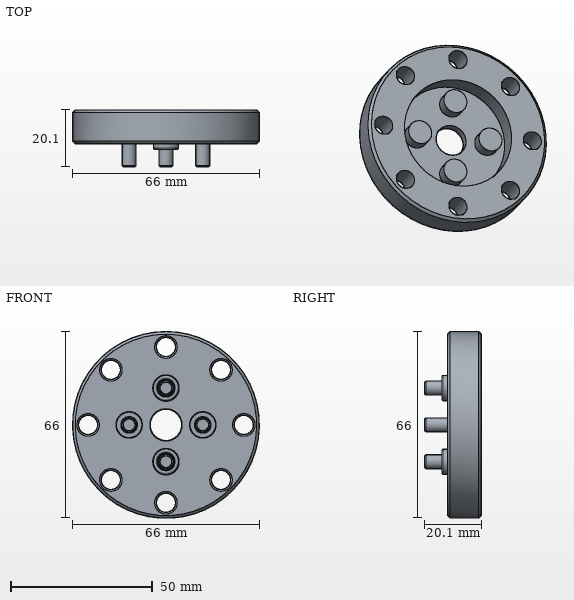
import cadquery as cq
import math


plate_diameter = 66
plate_thickness = 12.0
plate_chamfer = 1.0

pocket_diameter = 39.6
floor_thickness = 3.8

center_bore_diameter = 11.0
fine_chamfer = 0.2

mount_hole_count = 8
mount_circle_diameter = 55.0
mount_hole_diameter = 6.65
mount_hole_chamfer = 0.65

pin_count = 4
pin_circle_diameter = 26.0
pin_diameter = 5.0
pin_projection = 8.1
pin_tip_chamfer = 0.45
pin_head_diameter = 8.5
pin_head_height = pin_diameter
recess_diameter = 9.0
recess_depth = 2
clearance_diameter = 5.5

bushing_bore_diameter = 6.4
bushing_projection = 2
bushing_wall = (recess_diameter - bushing_bore_diameter) / 2
bushing_rim_radius = bushing_wall / 2


def circle_positions(circle_diameter, count):
    """Return evenly spaced (x, z) points on a circle, starting on +X."""
    radius = circle_diameter / 2
    angles = [2 * math.pi * i / count for i in range(count)]
    return [(radius * math.cos(a), radius * math.sin(a)) for a in angles]


def cylinder(position, diameter, y_start, y_end):
    """Return a cylinder along Y at an (x, z) position."""
    x, z = position
    return cq.Workplane(
        cq.Solid.makeCylinder(
            diameter / 2, y_end - y_start, cq.Vector(x, y_start, z), cq.Vector(0, 1, 0)
        )
    )


def chamfered_hole(position, diameter, y_start, y_end, chamfer):
    """Return the cutter for a hole along Y with a 45 degree chamfer at its front mouth."""
    x, z = position
    radius = diameter / 2
    cone = cq.Solid.makeCone(
        radius + chamfer, radius, chamfer, cq.Vector(x, y_start, z), cq.Vector(0, 1, 0)
    )
    return cylinder(position, diameter, y_start, y_end).union(cq.Workplane(cone))


def pin_hole(position):
    """Return the cutter for a recess and the clearance hole that runs on through the floor."""
    recess = chamfered_hole(position, recess_diameter, 0, recess_depth, fine_chamfer)
    clearance = chamfered_hole(
        position, clearance_diameter, recess_depth, floor_thickness, fine_chamfer
    )
    return recess.union(clearance)


def make_plate():
    """Return the round plate with its pocket and all of its holes."""
    center = (0, 0)
    body = cylinder(center, plate_diameter, 0, plate_thickness).edges().chamfer(plate_chamfer)
    body = body.cut(cylinder(center, pocket_diameter, floor_thickness, plate_thickness))
    body = body.cut(chamfered_hole(center, center_bore_diameter, 0, floor_thickness, fine_chamfer))
    for position in circle_positions(mount_circle_diameter, mount_hole_count):
        body = body.cut(
            chamfered_hole(position, mount_hole_diameter, 0, plate_thickness, mount_hole_chamfer)
        )
    for position in pin_positions:
        body = body.cut(pin_hole(position))
    return body


def make_pin(position):
    """Return one pin with a chamfered tip and a head that bears on the back of the plate floor."""
    head_end = floor_thickness + pin_head_height
    shank = cylinder(position, pin_diameter, -pin_projection, floor_thickness)
    head = cylinder(position, pin_head_diameter, floor_thickness, head_end)
    return shank.faces("<Y").chamfer(pin_tip_chamfer).union(head)


def make_bushing(position):
    """Return one bushing with a half-round front rim, made by revolving its wall section."""
    x, z = position
    inner = bushing_bore_diameter / 2
    outer = recess_diameter / 2
    rim_start = bushing_rim_radius - bushing_projection
    return (
        cq.Workplane("XY")
        .moveTo(inner, recess_depth)
        .lineTo(outer, recess_depth)
        .lineTo(outer, rim_start)
        .threePointArc((inner + bushing_wall / 2, -bushing_projection), (inner, rim_start))
        .close()
        .revolve(axisStart=(0, 0, 0), axisEnd=(0, 1, 0))
        .translate((x, 0, z))
    )


pin_positions = circle_positions(pin_circle_diameter, pin_count)
bushing_positions = pin_positions[1::2]

plate = make_plate()
pins = [make_pin(position) for position in pin_positions]
bushings = [make_bushing(position) for position in bushing_positions]

result = cq.Compound.makeCompound(
    [
        plate.val(),
        *[pin.val() for pin in pins],
        *[bushing.val() for bushing in bushings],
    ]
)